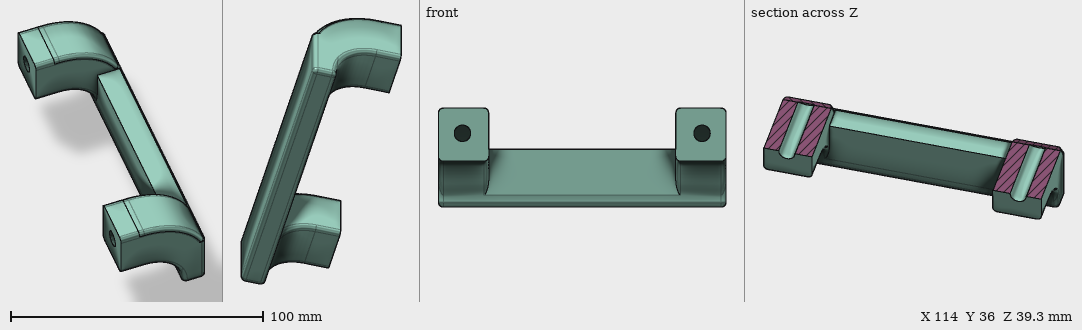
import cadquery as cq
import math

LENGTH = 114.0
DEPTH = 36.0
HEIGHT = 39.3

LEG_WIDTH = 20.0
ARC_START = 10.0
OUTER_RADIUS = 28.0
INNER_RADIUS = 16.2
INNER_ARC_FOOT = 2.0
EDGE_RADIUS = 1.9

RAIL_FRONT = 26.0
LEDGE_HEIGHT = 23.0
LIP_HEIGHT = 0.2

CAP_START = 8.0
CAP_THICKNESS = 1.5

HOLE_DIAMETER = 6.5
HOLE_SPACING = 95.0
HOLE_FROM_TOP = 10.0

OUTER_CENTER_Z = HEIGHT - OUTER_RADIUS
INNER_ARC_END_Y = ARC_START + INNER_RADIUS
LEG_UNDERSIDE = INNER_ARC_FOOT + INNER_RADIUS
LEG_STARTS = (0.0, LENGTH - LEG_WIDTH)


def box(x_range, y_range, z_range):
    """Box spanning the given (start, end) ranges."""
    sizes = [end - start for start, end in (x_range, y_range, z_range)]
    corner = (x_range[0], y_range[0], z_range[0])
    return cq.Workplane("XY").box(*sizes, centered=False).translate(corner)


def circle_point(radius, center_z, angle):
    """YZ point on a circle centred where the arcs start, angle in radians from +Y."""
    return (ARC_START + radius * math.cos(angle), center_z + radius * math.sin(angle))


def add_underside(sketch):
    """Close an outline from the bottom back corner along the inner arc to the mounting face."""
    middle = circle_point(INNER_RADIUS, INNER_ARC_FOOT, math.pi / 4)
    return (
        sketch.lineTo(INNER_ARC_END_Y, 0)
        .lineTo(INNER_ARC_END_Y, INNER_ARC_FOOT)
        .threePointArc(middle, (ARC_START, LEG_UNDERSIDE))
        .lineTo(0, LEG_UNDERSIDE)
        .close()
    )


def round_edges(block):
    """Round everything but the mounting face and the edges across the top and the arcs."""
    side_edges = block.faces("<X or >X").edges("not <Y")
    return side_edges.add(block.faces("<Z").edges("|X")).fillet(EDGE_RADIUS)


def make_arch(start):
    """Whole leg, including the material of its cap."""
    end_angle = math.acos((DEPTH - ARC_START) / OUTER_RADIUS)
    middle = circle_point(OUTER_RADIUS, OUTER_CENTER_Z, (end_angle + math.pi / 2) / 2)
    end = circle_point(OUTER_RADIUS, OUTER_CENTER_Z, end_angle)
    sketch = (
        cq.Workplane("YZ")
        .moveTo(0, HEIGHT)
        .lineTo(ARC_START, HEIGHT)
        .threePointArc(middle, end)
        .lineTo(DEPTH, 0)
    )
    arch = add_underside(sketch).extrude(LEG_WIDTH)
    return round_edges(arch).translate((start, 0, 0))


def make_rail():
    """Full-length rail with a low lip along its back edge."""
    sketch = cq.Workplane("YZ").moveTo(0, HEIGHT).lineTo(DEPTH, HEIGHT).lineTo(DEPTH, 0)
    block = round_edges(add_underside(sketch).extrude(LENGTH))
    rail = block.intersect(box((0, LENGTH), (RAIL_FRONT, DEPTH), (0, LEDGE_HEIGHT)))
    lip_front = ARC_START + math.sqrt(OUTER_RADIUS**2 - (LEDGE_HEIGHT - OUTER_CENTER_Z) ** 2)
    between_legs = (LEG_WIDTH, LENGTH - LEG_WIDTH)
    step = box(between_legs, (RAIL_FRONT, lip_front), (LEDGE_HEIGHT - LIP_HEIGHT, LEDGE_HEIGHT))
    return rail.cut(step)


def make_cap_space():
    """Full-length region above the cap seats."""
    seat_radius = OUTER_RADIUS - CAP_THICKNESS
    seat_height = HEIGHT - CAP_THICKNESS
    end_angle = math.asin((LEDGE_HEIGHT - OUTER_CENTER_Z) / seat_radius)
    middle = circle_point(seat_radius, OUTER_CENTER_Z, (end_angle + math.pi / 2) / 2)
    end = circle_point(seat_radius, OUTER_CENTER_Z, end_angle)
    return (
        cq.Workplane("YZ")
        .moveTo(CAP_START, HEIGHT)
        .lineTo(CAP_START, seat_height)
        .lineTo(ARC_START, seat_height)
        .threePointArc(middle, end)
        .lineTo(DEPTH, LEDGE_HEIGHT)
        .lineTo(DEPTH, HEIGHT)
        .close()
        .extrude(LENGTH)
    )


def make_holes():
    """Cylinders of the two mounting holes, running through the full depth."""
    inset = (LENGTH - HOLE_SPACING) / 2
    hole_z = HEIGHT - HOLE_FROM_TOP
    return (
        cq.Workplane("XZ")
        .pushPoints([(inset, hole_z), (LENGTH - inset, hole_z)])
        .circle(HOLE_DIAMETER / 2)
        .extrude(-DEPTH)
    )


def make_handle():
    """Rail and both legs, with the cap seats and mounting holes cut."""
    handle = make_rail()
    cap_space = make_cap_space()
    for start in LEG_STARTS:
        handle = handle.union(make_arch(start).cut(cap_space))
    return handle.cut(make_holes()).solids()


def make_cap(start):
    """Curved cover with rounded sides that rests on one leg."""
    return make_arch(start).intersect(make_cap_space()).solids()


handle = make_handle()
caps = [make_cap(start) for start in LEG_STARTS]

result = cq.Compound.makeCompound([handle.val(), *[cap.val() for cap in caps]])